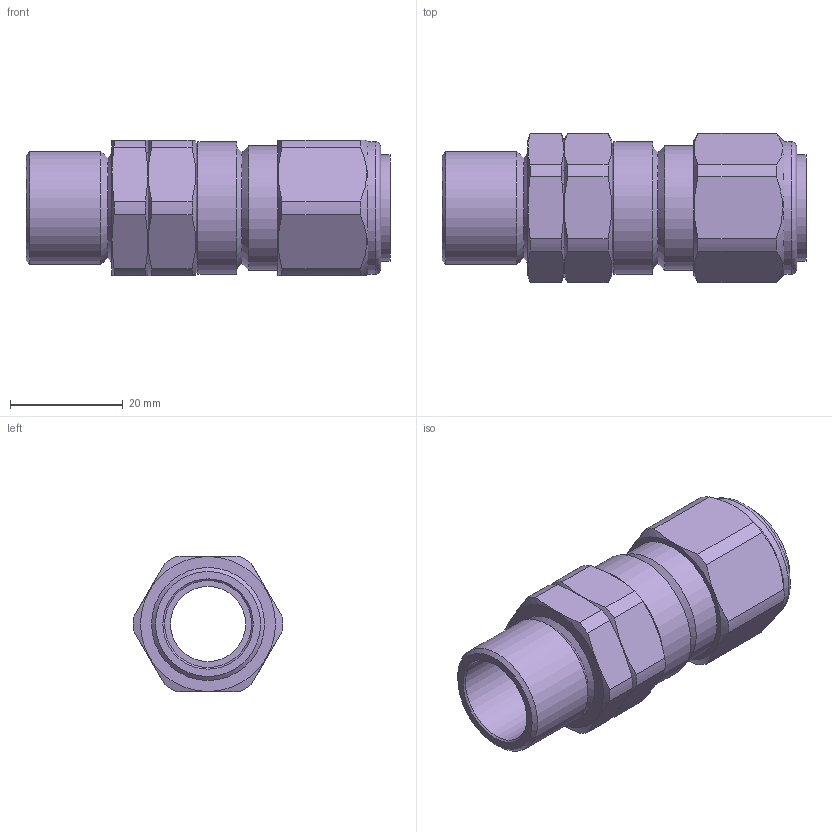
import cadquery as cq
import math


overall_length = 64.45
thread_chamfer_end = 0.65
thread_end = 13.25
thread_groove = 14.45
entry_hex_start = 15.2
hex_joint = 21.55
body_hex_end = 30.1
sleeve_start = 30.45
sleeve_end = 37.3
neck_groove = 38.2
nut_start = 44.6
nut_hex_end = 59.2
nut_collar_start = 60.55
nut_end = 62.8

thread_radius = 10.0
thread_tip_radius = 9.3
thread_groove_radius = 8.8
entry_hex_root_radius = 9.75
hex_corner_radius = 13.2
hex_face_radius = 11.95
sleeve_radius = 11.75
sleeve_root_radius = 11.4
sleeve_step_radius = 10.85
neck_groove_radius = 9.8
neck_radius = 11.0
collar_fillet = 1.0
seal_radius = 9.4

across_flats = 24.0
entry_hex_chamfer = 0.4
hex_chamfer = 0.7

entry_bore_radius = 7.7
entry_bore_chamfer = 0.3
entry_bore_depth = nut_start
seal_bore_radius = 6.65


def hex_section(start, end, start_chamfer, end_chamfer):
    """Half-profile of a chamfered nut section, as (x, radius) points."""
    return [
        (start, hex_face_radius),
        (start + start_chamfer, hex_corner_radius),
        (end - end_chamfer, hex_corner_radius),
        (end, hex_face_radius),
    ]


def turned_blank():
    """Revolved outside shape, before the flats are cut."""
    thread = [
        (0, 0),
        (0, thread_tip_radius),
        (thread_chamfer_end, thread_radius),
        (thread_end, thread_radius),
        (thread_groove, thread_groove_radius),
        (entry_hex_start, entry_hex_root_radius),
    ]
    entry_hex = hex_section(entry_hex_start, hex_joint, entry_hex_chamfer, entry_hex_chamfer)
    body_hex = hex_section(hex_joint, body_hex_end, hex_chamfer, hex_chamfer)
    neck_cone_length = neck_radius - neck_groove_radius
    sleeve_and_neck = [
        (body_hex_end, sleeve_root_radius),
        (sleeve_start, sleeve_radius),
        (sleeve_end, sleeve_radius),
        (sleeve_end, sleeve_step_radius),
        (neck_groove, neck_groove_radius),
        (neck_groove + neck_cone_length, neck_radius),
        (nut_start, neck_radius),
    ]
    nut = [
        (nut_start, hex_face_radius),
        (nut_start + hex_chamfer, hex_corner_radius),
        (nut_hex_end, hex_corner_radius),
        (nut_collar_start, sleeve_radius),
        (nut_end - collar_fillet, sleeve_radius),
    ]
    outline = thread + entry_hex + body_hex[1:] + sleeve_and_neck + nut
    fillet_reach = collar_fillet * math.sin(math.radians(45))
    fillet_middle = (
        nut_end - collar_fillet + fillet_reach,
        sleeve_radius - collar_fillet + fillet_reach,
    )
    return (
        cq.Workplane("XY")
        .polyline(outline)
        .threePointArc(fillet_middle, (nut_end, sleeve_radius - collar_fillet))
        .lineTo(nut_end, seal_radius)
        .lineTo(overall_length, seal_radius)
        .lineTo(overall_length, 0)
        .close()
        .revolve(360, (0, 0, 0), (1, 0, 0))
    )


def hex_prism():
    """Full-length hexagon with flats facing +Z and -Z and corners on Y."""
    across_corners = across_flats / math.cos(math.radians(30))
    return cq.Workplane("YZ").polygon(6, across_corners).extrude(overall_length)


def bore():
    """Stepped through bore with a chamfered mouth at the thread end."""
    outline = [
        (0, 0),
        (0, entry_bore_radius + entry_bore_chamfer),
        (entry_bore_chamfer, entry_bore_radius),
        (entry_bore_depth, entry_bore_radius),
        (entry_bore_depth, seal_bore_radius),
        (overall_length, seal_bore_radius),
        (overall_length, 0),
    ]
    return cq.Workplane("XY").polyline(outline).close().revolve(360, (0, 0, 0), (1, 0, 0))


result = turned_blank().intersect(hex_prism()).cut(bore())